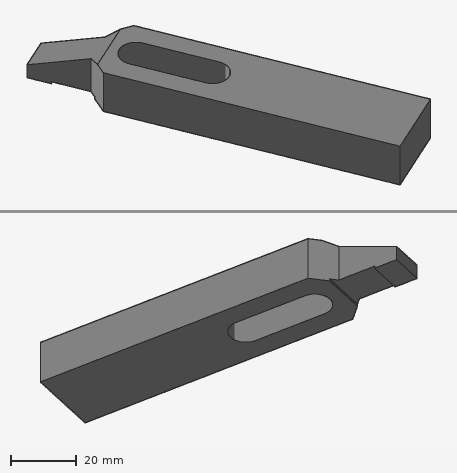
import cadquery as cq

length = 125
width = 25
height = 15

nose_width = 11.5
nose_length = 21.0
shoulder = (width - nose_width) / 2

tip_height = 5
slope_end = 24.6

pad_length = 8.0
relief_end = 23.0
relief_depth = 0.8

slot_start = 28.0
slot_length = 36.0
slot_width = 11.0


def side_profile():
    """Full-width bar with the sloped nose and the underside relief."""
    points = [
        (0, 0),
        (pad_length, 0),
        (pad_length, relief_depth),
        (relief_end, relief_depth),
        (relief_end, 0),
        (length, 0),
        (length, height),
        (slope_end, height),
        (0, tip_height),
    ]
    return cq.Workplane("XZ").polyline(points).close().extrude(width / 2, both=True)


def plan_profile():
    """Full-height plate with the narrow nose and its angled shoulders."""
    shoulder_end = nose_length + shoulder
    points = [
        (0, -nose_width / 2),
        (nose_length, -nose_width / 2),
        (shoulder_end, -width / 2),
        (length, -width / 2),
        (length, width / 2),
        (shoulder_end, width / 2),
        (nose_length, nose_width / 2),
        (0, nose_width / 2),
    ]
    return cq.Workplane("XY").polyline(points).close().extrude(height)


def bolt_slot():
    """Round-ended slot through the full height."""
    centre_x = slot_start + slot_length / 2
    return (
        cq.Workplane("XY")
        .center(centre_x, 0)
        .slot2D(slot_length, slot_width)
        .extrude(height)
    )


result = side_profile().intersect(plan_profile()).cut(bolt_slot())